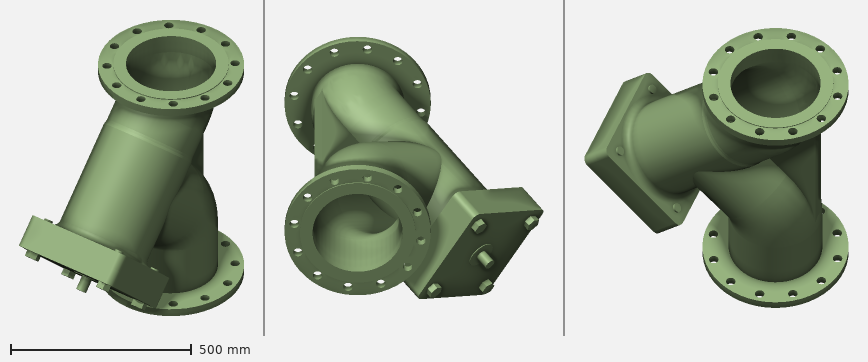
import cadquery as cq
import math

overall_height = 730.0
bore_radius = 250.0 / 2
pipe_radius = 260.0 / 2

flange_radius = 405.0 / 2
flange_thickness = 24.0
raised_face_radius = 320.0 / 2
raised_face_height = 3.0
flange_hole_count = 12
flange_hole_radius = 26.0 / 2
flange_hole_circle_radius = 355.0 / 2
flange_hole_start_angle = 7.5

inlet_bend_start = 674.0
inlet_bend_radius = 100.0
inlet_bend_angle = 45.0
inlet_tail = 30.0

outlet_bend_start = 176.0
outlet_bend_radius = 145.0
outlet_bend_angle = 47.0

barrel_radius = 266.0 / 2
neck_end = 101.5
taper_step_length = 7.5
taper_middle_radius = 131.0
barrel_base_fillet = 20.0
plate_start = 429.7
plate_size = 320.0
plate_thickness = 46.5
plate_corner_radius = 20.0

cover_thickness = 46.5
boss_radius = 80.0 / 2
boss_height = 2.0
stem_radius = 30.0 / 2
stem_length = 42.0
bolt_count = 4
bolt_spacing = 240.0
bolt_radius = 25.0 / 2
bolt_end_projection = 6.5
bolt_head_width = 36.0
bolt_head_height = 18.0

web_thickness = 40.0
web_outer_y = 127.0

flange_depth = flange_thickness + raised_face_height
taper_end = neck_end + 2 * taper_step_length
seam_position = plate_start + plate_thickness
cover_front = seam_position + cover_thickness

inlet_sine = math.sin(math.radians(inlet_bend_angle))
inlet_cosine = math.cos(math.radians(inlet_bend_angle))
outlet_sine = math.sin(math.radians(outlet_bend_angle))
outlet_cosine = math.cos(math.radians(outlet_bend_angle))

barrel_direction = cq.Vector(0, -inlet_sine, -inlet_cosine)
barrel_across = cq.Vector(0, -inlet_cosine, inlet_sine)
barrel_origin = cq.Vector(
    0,
    -inlet_bend_radius * (1 - inlet_cosine),
    inlet_bend_start - inlet_bend_radius * inlet_sine,
)
branch_direction = cq.Vector(0, -outlet_sine, outlet_cosine)
branch_origin = cq.Vector(
    0,
    -outlet_bend_radius * (1 - outlet_cosine),
    outlet_bend_start + outlet_bend_radius * outlet_sine,
)
branch_length = (barrel_origin - branch_origin).dot(barrel_across) / branch_direction.dot(barrel_across)
axes_meeting = branch_origin + branch_direction * branch_length


def plane_across(origin, direction):
    """Plane with local x along X and its normal along direction."""
    return cq.Plane(origin=origin.toTuple(), xDir=(1, 0, 0), normal=direction.toTuple())


def barrel_plane(distance):
    return plane_across(barrel_origin + barrel_direction * distance, barrel_direction)


def barrel_cylinder(radius, start, end):
    return cq.Workplane(barrel_plane(start)).circle(radius).extrude(end - start)


def vertical_cylinder(radius, bottom, top):
    return cq.Workplane("XY", origin=(0, 0, bottom)).circle(radius).extrude(top - bottom)


def inlet_bend(radius):
    """Tight bend turning down towards -Y; its section is cut off at the bend axis."""
    half_chord = math.sqrt(radius**2 - inlet_bend_radius**2)
    solid = (
        cq.Workplane("XY", origin=(0, 0, inlet_bend_start))
        .moveTo(-half_chord, -inlet_bend_radius)
        .lineTo(half_chord, -inlet_bend_radius)
        .threePointArc((0, radius), (-half_chord, -inlet_bend_radius))
        .close()
        .revolve(inlet_bend_angle, (0, -inlet_bend_radius), (-1, -inlet_bend_radius))
    )
    return cq.Workplane(solid.val().toNURBS())


def outlet_bend(radius):
    """Bend turning up towards -Y."""
    section = cq.Workplane("XY", origin=(0, 0, outlet_bend_start)).circle(radius)
    return section.revolve(outlet_bend_angle, (0, -outlet_bend_radius), (1, -outlet_bend_radius))


def inlet_run(radius, top):
    run = vertical_cylinder(radius, inlet_bend_start, top)
    run = run.union(inlet_bend(radius))
    return run.union(barrel_cylinder(radius, 0, inlet_tail))


def outlet_run(radius, bottom):
    branch = cq.Workplane(plane_across(branch_origin, branch_direction)).circle(radius).extrude(branch_length)
    run = vertical_cylinder(radius, bottom, outlet_bend_start)
    return run.union(outlet_bend(radius)).union(branch)


def pipe_flange(face_height, inward):
    """Drilled flange with its raised face at face_height; inward is +1 or -1 along Z."""
    disc_face = face_height + inward * raised_face_height
    disc = (
        cq.Workplane("XY", origin=(0, 0, disc_face))
        .circle(flange_radius)
        .polarArray(flange_hole_circle_radius, flange_hole_start_angle, 360, flange_hole_count)
        .circle(flange_hole_radius)
        .extrude(inward * flange_thickness)
    )
    raised_face = (
        cq.Workplane("XY", origin=(0, 0, face_height))
        .circle(raised_face_radius)
        .extrude(inward * raised_face_height)
    )
    return disc.union(raised_face)


def square_plate(start, thickness):
    plate = cq.Workplane(barrel_plane(start)).rect(plate_size, plate_size).extrude(thickness)
    barrel_edges = cq.selectors.ParallelDirSelector(barrel_direction)
    return plate.edges(barrel_edges).fillet(plate_corner_radius)


def bolt_shanks():
    """Shanks from the front of the cover to their ends behind the barrel plate."""
    start = plate_start - bolt_end_projection
    return (
        cq.Workplane(barrel_plane(start))
        .rect(bolt_spacing, bolt_spacing, forConstruction=True)
        .vertices()
        .circle(bolt_radius)
        .extrude(cover_front - start)
    )


def barrel_outside():
    """Turned outside of the barrel: neck, two-step taper, tube and filleted base."""
    arc_middle = barrel_base_fillet * (1 - math.sqrt(0.5))
    return (
        cq.Workplane(plane_across(barrel_origin, barrel_across))
        .moveTo(0, -inlet_tail)
        .lineTo(pipe_radius, -inlet_tail)
        .lineTo(pipe_radius, -neck_end)
        .lineTo(taper_middle_radius, -neck_end - taper_step_length)
        .lineTo(barrel_radius, -taper_end)
        .lineTo(barrel_radius, barrel_base_fillet - plate_start)
        .threePointArc(
            (barrel_radius + arc_middle, arc_middle - plate_start),
            (barrel_radius + barrel_base_fillet, -plate_start),
        )
        .lineTo(0, -plate_start)
        .close()
        .revolve(360, (0, 0), (0, 1))
    )


barrel_envelope = barrel_outside()
outlet_bore = outlet_run(bore_radius, 0)


def make_inlet():
    """Top flange, short pipe and elbow down to the barrel."""
    body = inlet_run(pipe_radius, overall_height - flange_depth)
    body = body.union(pipe_flange(overall_height, -1))
    return body.cut(inlet_run(bore_radius, overall_height))


def make_barrel():
    """Barrel tube with its square end plate, open to the branch."""
    body = barrel_envelope.union(square_plate(plate_start, plate_thickness))
    body = body.cut(barrel_cylinder(bore_radius, inlet_tail, seam_position))
    return body.cut(outlet_bore).cut(bolt_shanks())


def make_outlet():
    """Bottom flange, pipe, elbow and branch that ends on the barrel."""
    body = outlet_run(pipe_radius, flange_depth).cut(barrel_envelope)
    return body.union(pipe_flange(0, 1)).cut(outlet_bore)


def make_cover():
    """Square cover with central boss, stem and four hexagon-headed bolts."""
    body = square_plate(seam_position, cover_thickness).union(bolt_shanks())
    body = body.union(barrel_cylinder(boss_radius, cover_front, cover_front + boss_height))
    body = body.union(barrel_cylinder(stem_radius, cover_front, cover_front + stem_length))
    corner_diameter = bolt_head_width / math.cos(math.pi / 6)
    for index in range(bolt_count):
        head = (
            cq.Workplane(barrel_plane(cover_front))
            .transformed(rotate=(0, 0, index * 360 / bolt_count))
            .center(bolt_spacing / 2, bolt_spacing / 2)
            .polygon(6, corner_diameter)
            .extrude(bolt_head_height)
        )
        body = body.union(head)
    return body


def make_web():
    """Flat plate filling the gap behind the elbows, trimmed to the pipes."""
    body = (
        cq.Workplane("YZ")
        .moveTo(web_outer_y, outlet_bend_start)
        .lineTo(web_outer_y, inlet_bend_start)
        .lineTo(0, inlet_bend_start)
        .lineTo(axes_meeting.y, axes_meeting.z)
        .lineTo(0, outlet_bend_start)
        .close()
        .extrude(web_thickness / 2, both=True)
    )
    body = body.cut(inlet_run(pipe_radius, overall_height))
    return body.cut(outlet_run(pipe_radius, 0)).cut(barrel_envelope)


inlet = make_inlet()
barrel = make_barrel()
outlet = make_outlet()
cover = make_cover()
web = make_web()

result = cq.Compound.makeCompound(
    [
        inlet.solids().val(),
        barrel.solids().val(),
        outlet.solids().val(),
        cover.solids().val(),
        web.solids().val(),
    ]
)